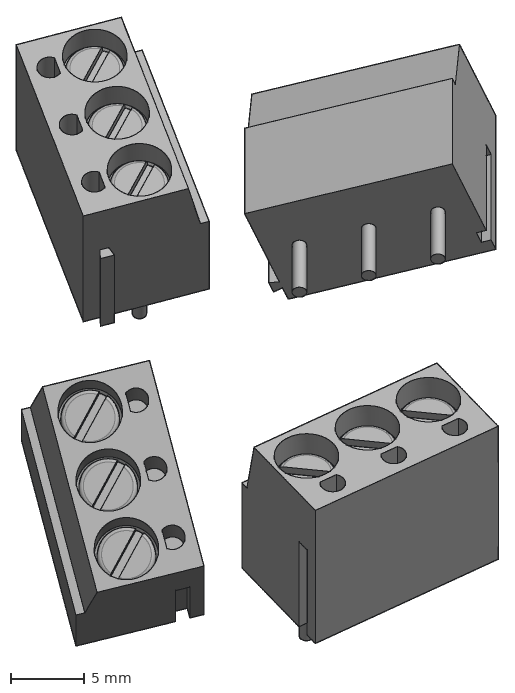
import cadquery as cq


pole_count = 3
housing_width = 14.99
pitch = housing_width / pole_count
housing_depth = 9.0
housing_height = 12.5
shoulder_height = 8.0
shoulder_depth = 0.63
back_lean = 0.86

guide_y = 1.5
tongue_length = 0.71
tongue_tip_width = 1.0
tongue_root_width = 0.65
groove_width = tongue_tip_width
groove_depth = tongue_length

screw_y = 4.82
screw_diameter = 4.0
screw_height = 1.5
screw_edge_radius = 0.3
slot_width = 0.6
slot_depth = 0.6
slot_angle = -42.0
well_diameter = 4.4
screw_recess = 1.54
rim_depth = 0.5

probe_y = 1.59
probe_radius = 0.86
probe_flat_offset = 0.55
probe_depth = screw_recess + screw_height

pin_diameter = 1.0
overall_height = 16.9
pin_length = overall_height - housing_height

pole_positions = [(i - (pole_count - 1) / 2) * pitch for i in range(pole_count)]
screw_top = housing_height - screw_recess
screw_bottom = screw_top - screw_height


def make_block():
    """Stepped side profile swept along the full width."""
    slope_foot_y = housing_depth - shoulder_depth
    return (
        cq.Workplane("YZ", origin=(-housing_width / 2, 0, 0))
        .moveTo(0, 0)
        .lineTo(housing_depth, 0)
        .lineTo(housing_depth, shoulder_height)
        .lineTo(slope_foot_y, shoulder_height)
        .lineTo(slope_foot_y - back_lean, housing_height)
        .lineTo(0, housing_height)
        .close()
        .extrude(housing_width)
    )


def make_tongue():
    """Dovetail rib, wider at its tip, standing on the +X end."""
    return (
        cq.Workplane("XY", origin=(housing_width / 2, guide_y, 0))
        .moveTo(0, -tongue_root_width / 2)
        .lineTo(tongue_length, -tongue_tip_width / 2)
        .lineTo(tongue_length, tongue_tip_width / 2)
        .lineTo(0, tongue_root_width / 2)
        .close()
        .extrude(shoulder_height)
    )


def make_groove():
    """Straight channel cut into the -X end, open at the underside."""
    return cq.Workplane("XY", origin=(-housing_width / 2, guide_y, 0)).box(
        groove_depth, groove_width, shoulder_height, centered=(False, True, False)
    )


def make_well(x):
    """Round well that narrows through a 45 degree cone to a close seat around the screw."""
    well_radius = well_diameter / 2
    seat_radius = screw_diameter / 2
    cone_top = screw_top - rim_depth
    cone_bottom = cone_top - (well_radius - seat_radius)
    return (
        cq.Workplane("YZ", origin=(x, screw_y, 0))
        .moveTo(0, screw_bottom)
        .lineTo(seat_radius, screw_bottom)
        .lineTo(seat_radius, cone_bottom)
        .lineTo(well_radius, cone_top)
        .lineTo(well_radius, housing_height)
        .lineTo(0, housing_height)
        .close()
        .revolve(360, (0, 0), (0, 1))
    )


def make_probe_hole(x):
    """Blind round hole with a flat on its back side."""
    floor = (x, probe_y, housing_height - probe_depth)
    round_hole = cq.Workplane("XY", origin=floor).circle(probe_radius).extrude(probe_depth)
    behind_flat = (
        cq.Workplane("XY", origin=floor)
        .center(0, probe_flat_offset)
        .box(2 * probe_radius, probe_radius, probe_depth, centered=(True, False, False))
    )
    return round_hole.cut(behind_flat)


def make_housing():
    housing = make_block().union(make_tongue()).cut(make_groove())
    for x in pole_positions:
        housing = housing.cut(make_well(x)).cut(make_probe_hole(x))
    return housing


def make_screw(x):
    """Round screw head with a rounded top edge and a slanted driver slot."""
    head = (
        cq.Workplane("XY", origin=(x, screw_y, screw_bottom))
        .circle(screw_diameter / 2)
        .extrude(screw_height)
        .faces(">Z")
        .edges()
        .fillet(screw_edge_radius)
    )
    slot = (
        cq.Workplane("XY")
        .box(2 * screw_diameter, slot_width, slot_depth, centered=(True, True, False))
        .rotate((0, 0, 0), (0, 0, 1), slot_angle)
        .translate((x, screw_y, screw_top - slot_depth))
    )
    return head.cut(slot)


def make_pin(x):
    """Round pin hanging from the housing underside."""
    return cq.Workplane("XY", origin=(x, screw_y, 0)).circle(pin_diameter / 2).extrude(-pin_length)


housing = make_housing()
screws = [make_screw(x).val() for x in pole_positions]
pins = [make_pin(x).val() for x in pole_positions]

result = cq.Compound.makeCompound([housing.val(), *screws, *pins])